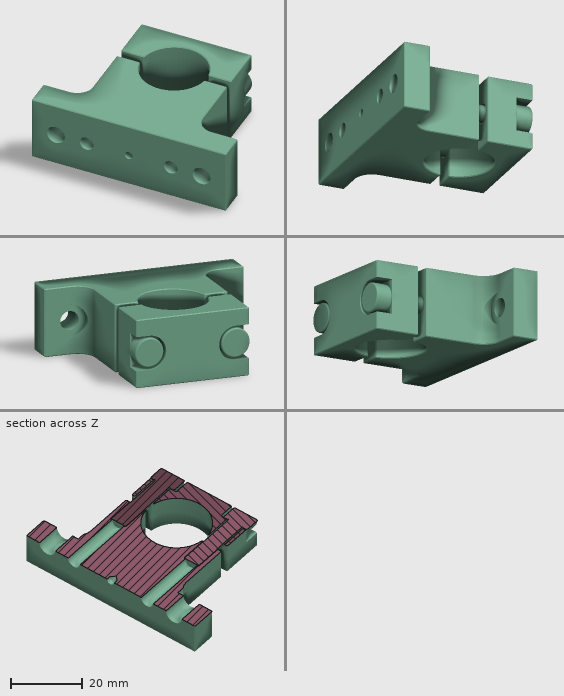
import cadquery as cq


length = 60.0
height = 45.0
thickness = 20.0
body_width = 34.0
flange_height = 8.0
corner_radius = 5.0
edge_chamfer = 0.25

bore_diameter = 20.0
bore_height = 30.0
clamp_gap = 2.5
base_top = bore_height - clamp_gap / 2
cap_bottom = bore_height + clamp_gap / 2

mount_spacing = 45.0
mount_diameter = 5.5
spotface_diameter = 9.5

centre_diameter = 2.45
centre_depth = 1.25
centre_tip_depth = centre_diameter / 2

screw_spacing = 26.0
shank_diameter = 5.0
clearance_diameter = 5.75
shank_length = 20.0
head_diameter = 8.5
head_height = 5.0
head_rounding = 0.4
recess_width = 10.0
tap_diameter = 4.2
head_seat = height - head_height
shank_end = head_seat - shank_length


def cylinder(x, diameter, y_start, y_end):
    """Cylinder along +Y, centred on z = 0."""
    return cq.Workplane(
        cq.Solid.makeCylinder(diameter / 2, y_end - y_start, cq.Vector(x, y_start, 0), cq.Vector(0, 1, 0))
    )


def block(width, y_start, y_end):
    """Rectangular block, centred in X and Z."""
    return cq.Workplane("XY").box(width, y_end - y_start, thickness).translate((0, (y_start + y_end) / 2, 0))


def pair(spacing):
    """X positions of two features mirrored about the middle."""
    return (-spacing / 2, spacing / 2)


def cut_bore(body):
    bore = cq.Workplane("XY").center(0, bore_height).circle(bore_diameter / 2).extrude(thickness, both=True)
    return body.cut(bore)


def make_base_blank():
    """Flanged foot and clamp body with rounded inner corners, bored and with its outer edges chamfered."""
    foot = block(length, 0, flange_height)
    body = block(body_width, 0, base_top)
    blank = foot.union(body)
    for x in pair(body_width):
        inner_corner = cq.selectors.NearestToPointSelector((x, flange_height, 0))
        blank = blank.edges("|Z").edges(inner_corner).fillet(corner_radius)
    return cut_bore(blank).faces("|Z or <Y or >Y or <X or >X").edges().chamfer(edge_chamfer)


def make_base():
    base = make_base_blank()

    for x in pair(mount_spacing):
        base = base.cut(cylinder(x, mount_diameter, 0, flange_height))
        base = base.cut(cylinder(x, spotface_diameter, flange_height, base_top))

    for x in pair(screw_spacing):
        base = base.cut(cylinder(x, tap_diameter, 0, shank_end))
        base = base.cut(cylinder(x, shank_diameter, shank_end, base_top))

    return base.cut(make_centring_hole())


def make_centring_hole():
    """Blind hole with a 90 degree conical tip."""
    straight = cylinder(0, centre_diameter, 0, centre_depth)
    tip = cq.Solid.makeCone(
        centre_diameter / 2, 0, centre_tip_depth, cq.Vector(0, centre_depth, 0), cq.Vector(0, 1, 0)
    )
    return straight.union(cq.Workplane(tip))


def make_cap():
    cap = cut_bore(block(body_width, cap_bottom, height)).edges().chamfer(edge_chamfer)
    for x in pair(screw_spacing):
        cap = cap.cut(cylinder(x, clearance_diameter, cap_bottom, head_seat))
        cap = cap.cut(make_head_recess(x))
    return cap


def make_head_recess(x):
    """Round-ended slot that runs out through the nearer side of the cap."""
    round_end = cylinder(x, recess_width, head_seat, height)
    outward = recess_width if x > 0 else -recess_width
    run_out = cq.Workplane("XY").box(recess_width * 2, head_height, recess_width)
    run_out = run_out.translate((x + outward, head_seat + head_height / 2, 0))
    return round_end.union(run_out)


def make_screw(x):
    head = cylinder(x, head_diameter, head_seat, height).edges().fillet(head_rounding)
    return head.union(cylinder(x, shank_diameter, shank_end, head_seat))


base = make_base()
cap = make_cap()
screws = [make_screw(x) for x in pair(screw_spacing)]

result = cq.Compound.makeCompound([base.val(), cap.val(), *[screw.val() for screw in screws]])